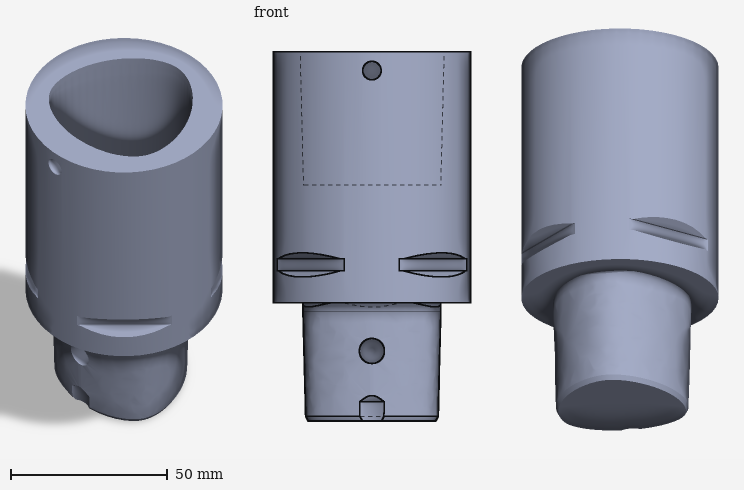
import cadquery as cq
import math

total_height = 118.0
body_diameter = 63.0
shank_height = 37.8
body_radius = body_diameter / 2
body_height = total_height - shank_height

lobe_rise = 1.4
taper_per_length = 1 / 40
curve_samples = 72

shank_mean_radius = 22.1
shank_collar_height = 2.6
shank_end_chamfer_height = 1.5
shank_end_chamfer_inset = 0.8
relief_top_radius = 22.2
relief_height = 1.9

socket_mean_radius = 23.0
socket_depth = 42.5
socket_floor_mean_radius = socket_mean_radius - socket_depth * taper_per_length

slot_count = 4
slot_center_z = 49.9
slot_floor_distance = 27.6
slot_floor_height = 3.9
slot_straight_depth = 0.7
slot_flank_angle = 31.0

marker_hole_diameter = 5.9
marker_hole_z = total_height - 6.0
marker_hole_depth = 7.1

drill_point_angle = 118.0
shank_hole_diameter = 8.0
shank_hole_z = 22.4
shank_hole_depth = 8.3
key_notch_diameter = 10.6
key_notch_axis_y = -23.2
key_notch_height = 6.1
key_notch_point_angle = 90.0


def lobed_point(mean_radius, turn):
    """Point of the constant-width lobed outline whose normal is turned from -Y by `turn`."""
    support = mean_radius - lobe_rise * math.cos(3 * turn)
    slope = 3 * lobe_rise * math.sin(3 * turn)
    normal_x, normal_y = math.sin(turn), -math.cos(turn)
    return support * normal_x - slope * normal_y, support * normal_y + slope * normal_x


def lobed_wire(mean_radius, z):
    """Closed smooth lobed outline at height z."""
    turns = [2 * math.pi * i / curve_samples for i in range(curve_samples)]
    points = [cq.Vector(*lobed_point(mean_radius, turn), z) for turn in turns]
    return cq.Wire.assembleEdges([cq.Edge.makeSpline(points, periodic=True)])


def lobed_solid(lower_radius, lower_z, upper_radius, upper_z):
    """Straight-sided solid between two lobed outlines."""
    wires = [lobed_wire(lower_radius, lower_z), lobed_wire(upper_radius, upper_z)]
    return cq.Workplane(cq.Solid.makeLoft(wires, True))


def make_body():
    return cq.Workplane().workplane(offset=shank_height).circle(body_radius).extrude(body_height)


def make_shank():
    collar_z = shank_height - shank_collar_height
    taper_height = collar_z - shank_end_chamfer_height
    small_radius = shank_mean_radius - taper_height * taper_per_length
    end_radius = small_radius - shank_end_chamfer_inset

    end_chamfer = lobed_solid(end_radius, 0, small_radius, shank_end_chamfer_height)
    taper = lobed_solid(small_radius, shank_end_chamfer_height, shank_mean_radius, collar_z)
    collar = lobed_solid(shank_mean_radius, collar_z, shank_mean_radius, shank_height)
    return end_chamfer.union(taper).union(collar.cut(make_lobe_relief()))


def make_lobe_relief():
    """Ring with a 45 degree conical inside that trims the lobes just under the body."""
    bottom_z = shank_height - relief_height
    bottom_radius = relief_top_radius + relief_height
    return (
        cq.Workplane("XZ")
        .moveTo(relief_top_radius, shank_height)
        .lineTo(body_radius, shank_height)
        .lineTo(body_radius, bottom_z)
        .lineTo(bottom_radius, bottom_z)
        .close()
        .revolve(360, (0, 0), (0, 1))
    )


def make_socket():
    floor_z = total_height - socket_depth
    return lobed_solid(socket_floor_mean_radius, floor_z, socket_mean_radius, total_height)


def make_gripper_slot(angle):
    """Tangential slot: flat floor, short parallel walls, then flanks that open outward."""
    flank_x = slot_floor_distance + slot_straight_depth
    flank_depth = body_radius - flank_x
    floor_half = slot_floor_height / 2
    mouth_half = floor_half + flank_depth * math.tan(math.radians(slot_flank_angle))
    return (
        cq.Workplane("XZ", origin=(0, 0, slot_center_z))
        .moveTo(slot_floor_distance, -floor_half)
        .lineTo(flank_x, -floor_half)
        .lineTo(body_radius, -mouth_half)
        .lineTo(body_radius, mouth_half)
        .lineTo(flank_x, floor_half)
        .lineTo(slot_floor_distance, floor_half)
        .close()
        .extrude(body_radius, both=True)
        .rotate((0, 0, 0), (0, 0, 1), angle)
    )


def make_marker_hole():
    return (
        cq.Workplane("XZ", origin=(0, -body_radius, marker_hole_z))
        .circle(marker_hole_diameter / 2)
        .extrude(-marker_hole_depth)
    )


def make_drill(diameter, depth, point_angle):
    """Drilled shape along +Z from the origin: a cylinder ending in a conical point."""
    radius = diameter / 2
    point_height = radius / math.tan(math.radians(point_angle / 2))
    return (
        cq.Workplane("XZ")
        .lineTo(radius, 0)
        .lineTo(radius, depth)
        .lineTo(0, depth + point_height)
        .close()
        .revolve(360, (0, 0), (0, 1))
    )


def make_shank_hole():
    drill = make_drill(shank_hole_diameter, shank_hole_depth, drill_point_angle)
    return drill.rotate((0, 0, 0), (1, 0, 0), -90).translate((0, -shank_mean_radius, shank_hole_z))


def make_key_notch():
    drill = make_drill(key_notch_diameter, key_notch_height, key_notch_point_angle)
    return drill.translate((0, key_notch_axis_y, 0))


result = make_body().union(make_shank()).cut(make_socket())
for index in range(slot_count):
    result = result.cut(make_gripper_slot((index + 0.5) * 360 / slot_count))
result = result.cut(make_marker_hole()).cut(make_shank_hole()).cut(make_key_notch()).solids()